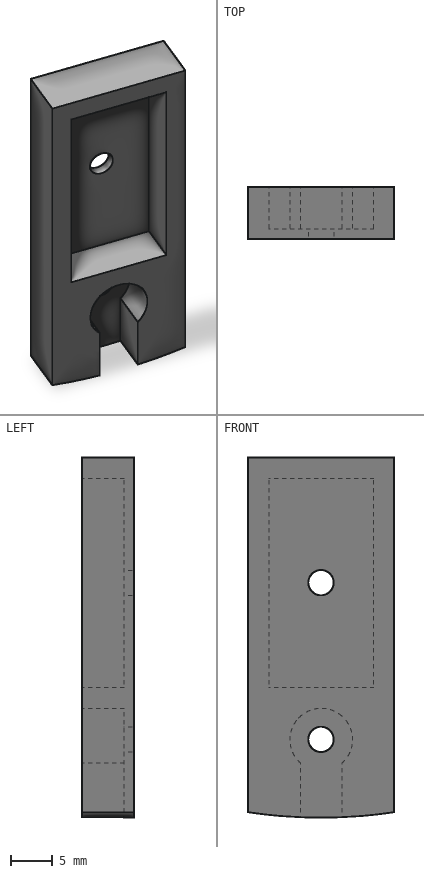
import cadquery as cq
import math

width = 17.78
thickness = 6.35
height = 43.815
bottom_radius = 60.325
hole_diameter = 3.05
top_edge_to_upper_hole = 15.24
hole_spacing = 19.05
front_skin = 1.27
pocket_wall = 2.54
round_recess_diameter = 7.62
slot_width = 5.08

half_width = width / 2
corner_height = bottom_radius - math.sqrt(bottom_radius**2 - half_width**2)
upper_hole_height = height - top_edge_to_upper_hole
lower_hole_height = upper_hole_height - hole_spacing
recess_depth = thickness - front_skin
pocket_width = width - 2 * pocket_wall
pocket_height = 2 * (top_edge_to_upper_hole - pocket_wall)


def make_plate():
    """Block with square top corners and a convex bottom edge."""
    outline = (
        cq.Workplane("XZ")
        .moveTo(-half_width, corner_height)
        .threePointArc((0, 0), (half_width, corner_height))
        .lineTo(half_width, height)
        .lineTo(-half_width, height)
        .close()
    )
    return outline.extrude(-thickness)


def make_screw_hole(hole_height):
    """Cutter for a hole through the thickness on the centre line."""
    sketch = cq.Workplane("XZ").center(0, hole_height).circle(hole_diameter / 2)
    return sketch.extrude(-thickness)


def recess_plane(center_height):
    """Sketch plane on the inner side of the front skin, centred on the given height."""
    return cq.Workplane("XZ", origin=(0, front_skin, center_height))


def make_upper_pocket():
    """Rectangular pocket, open at the back and centred on the upper hole."""
    return recess_plane(upper_hole_height).rect(pocket_width, pocket_height).extrude(-recess_depth)


def make_lower_recess():
    """Round recess on the lower hole with a narrower slot running out of the bottom edge."""
    round_recess = recess_plane(lower_hole_height).circle(round_recess_diameter / 2).extrude(-recess_depth)
    slot_plane = recess_plane(lower_hole_height / 2)
    slot = slot_plane.rect(slot_width, lower_hole_height).extrude(-recess_depth)
    return round_recess.union(slot)


holder = make_plate().cut(make_upper_pocket()).cut(make_lower_recess())
for hole_height in (upper_hole_height, lower_hole_height):
    holder = holder.cut(make_screw_hole(hole_height))

result = cq.Workplane(holder.solids().val())